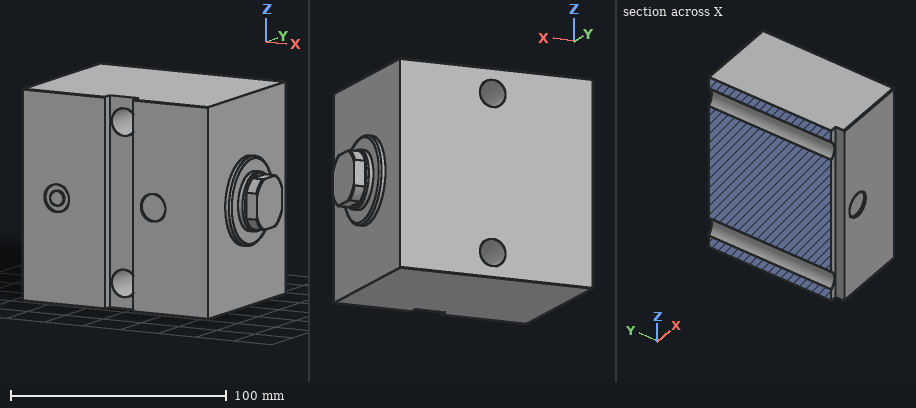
import cadquery as cq

HOUSING_LENGTH = 98.0
HOUSING_DEPTH = 75.0
HOUSING_HEIGHT = 100.0
EDGE_CHAMFER = 0.3
FRONT_Y = -HOUSING_DEPTH / 2

GROOVE_X = 50.9
GROOVE_WIDTH = 15.0
GROOVE_DEPTH = 5.0
MOUNTING_HOLE_DIAMETER = 13.0
MOUNTING_HOLE_SPACING = 76.0

REAR_PORT_X = 18.0
FRONT_PORT_X = 69.0
PORT_DIAMETER = 13.0
PORT_DEPTH = 1.0
PORT_BOSS_DIAMETER = 7.0

GLAND_DIAMETER = 42.0
GLAND_LENGTH = 3.0
GLAND_CHAMFER = 1.0

ROD_DIAMETER = 28.0
COLLAR_CHAMFER_LENGTH = 1.0
TIP_DIAMETER = 27.0
TIP_ACROSS_FLATS = 24.0
TIP_CHAMFER = 0.4
COLLAR_LENGTH = 3.3
OVERALL_LENGTH = 110.0


def front_cylinder(x, z, diameter, start_y, length):
    """Cylinder along +Y from start_y."""
    return cq.Workplane(
        cq.Solid.makeCylinder(diameter / 2, length, cq.Vector(x, start_y, z), cq.Vector(0, 1, 0))
    )


def axial_cylinder(diameter, start_x, length):
    """Cylinder along +X on the X axis."""
    return cq.Workplane(
        cq.Solid.makeCylinder(diameter / 2, length, cq.Vector(start_x, 0, 0), cq.Vector(1, 0, 0))
    )


def make_housing():
    block = cq.Workplane("XY").box(HOUSING_LENGTH, HOUSING_DEPTH, HOUSING_HEIGHT)
    block = block.translate((HOUSING_LENGTH / 2, 0, 0)).edges("|X").chamfer(EDGE_CHAMFER)

    groove = cq.Workplane("XY").box(GROOVE_WIDTH, 2 * GROOVE_DEPTH, HOUSING_HEIGHT)
    block = block.cut(groove.translate((GROOVE_X, FRONT_Y, 0)))

    for side in (-1, 1):
        hole_z = side * MOUNTING_HOLE_SPACING / 2
        block = block.cut(
            front_cylinder(GROOVE_X, hole_z, MOUNTING_HOLE_DIAMETER, FRONT_Y, HOUSING_DEPTH)
        )

    for port_x in (REAR_PORT_X, FRONT_PORT_X):
        block = block.cut(front_cylinder(port_x, 0, PORT_DIAMETER, FRONT_Y, PORT_DEPTH))

    return block.union(front_cylinder(REAR_PORT_X, 0, PORT_BOSS_DIAMETER, FRONT_Y, PORT_DEPTH))


def make_gland():
    ring = axial_cylinder(GLAND_DIAMETER, HOUSING_LENGTH, GLAND_LENGTH)
    ring = ring.faces(">X").edges().chamfer(GLAND_CHAMFER)
    return ring.cut(axial_cylinder(ROD_DIAMETER, HOUSING_LENGTH, GLAND_LENGTH))


def make_rod():
    collar_end = HOUSING_LENGTH + GLAND_LENGTH + COLLAR_LENGTH
    collar = axial_cylinder(ROD_DIAMETER, HOUSING_LENGTH, collar_end - HOUSING_LENGTH)
    chamfer_height = (ROD_DIAMETER - TIP_DIAMETER) / 2
    collar = collar.faces(">X").edges().chamfer(COLLAR_CHAMFER_LENGTH, chamfer_height)

    tip_length = OVERALL_LENGTH - collar_end
    tip = axial_cylinder(TIP_DIAMETER, collar_end, tip_length)
    tip = tip.faces(">X").edges().chamfer(TIP_CHAMFER)
    square = cq.Workplane("XY").box(tip_length, TIP_ACROSS_FLATS, TIP_ACROSS_FLATS)
    tip = tip.intersect(square.translate((collar_end + tip_length / 2, 0, 0)))
    return collar.union(tip)


housing = make_housing()
gland = make_gland()
rod = make_rod()

result = cq.Compound.makeCompound([housing.val(), gland.val(), rod.val()])